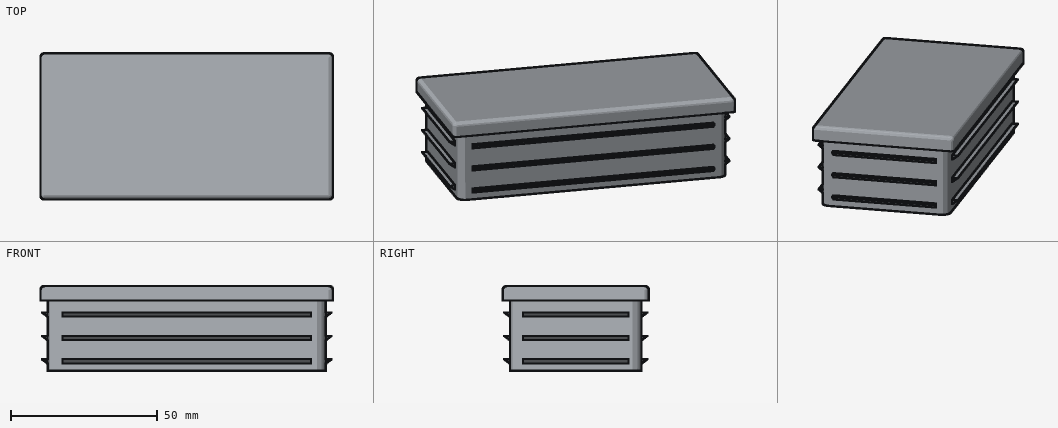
import cadquery as cq

cap_length = 100.0
cap_width = 50.0
cap_height = 5.0
cap_edge_radius = 1.5

cap_overhang = 2.5
body_length = cap_length - 2 * cap_overhang
body_width = cap_width - 2 * cap_overhang
body_height = 24.0
body_corner_radius = 3.0

fin_reach = 2.0
fin_thickness = 1.5
lowest_fin_top = 4.0
fin_spacing = 8.0
fin_levels = 3
fin_top_heights = [lowest_fin_top + level * fin_spacing for level in range(fin_levels)]
long_fin_length = 85.0
short_fin_length = 36.0
fin_root = 0.5


def make_cap():
    cap = cq.Workplane("XY").workplane(offset=body_height).box(
        cap_length, cap_width, cap_height, centered=(True, True, False)
    )
    cap = cap.edges("|Z").fillet(cap_edge_radius)
    return cap.faces(">Z").edges().fillet(cap_edge_radius)


def make_body():
    body = cq.Workplane("XY").box(
        body_length, body_width, body_height, centered=(True, True, False)
    )
    return body.edges("|Z").fillet(body_corner_radius)


def make_fin(wall_distance, length, top):
    """Triangular fin on the wall facing +X, running along Y."""
    inner = wall_distance - fin_root
    tip = wall_distance + fin_reach
    bottom = top - fin_thickness
    profile = [(inner, top), (tip, top), (wall_distance, bottom), (inner, bottom)]
    return cq.Workplane("XZ").polyline(profile).close().extrude(length / 2, both=True)


result = make_cap().union(make_body())
for top in fin_top_heights:
    end_fin = make_fin(body_length / 2, short_fin_length, top)
    side_fin = make_fin(body_width / 2, long_fin_length, top)
    for fin, first_angle in ((end_fin, 0), (side_fin, 90)):
        for angle in (first_angle, first_angle + 180):
            result = result.union(fin.rotate((0, 0, 0), (0, 0, 1), angle))